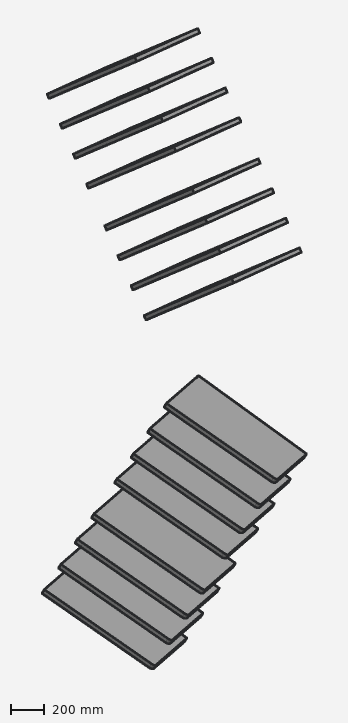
import cadquery as cq
import math

TILT = 31.6
PLATE_LENGTH = 800.0
PLATE_THICKNESS = 30.0
STACK_HEIGHT = 1468.0
PLATES_PER_GROUP = 4
GROUP_SPACING = 270.0
MAX_DEPTH = 628.0
DEPTH_LOSS = 83.0
CORNER_RADIUS = 25.0

cos_tilt = math.cos(math.radians(TILT))
sin_tilt = math.sin(math.radians(TILT))
total_width = PLATE_LENGTH * cos_tilt + STACK_HEIGHT * sin_tilt
steps_in_groups = 2 * (PLATES_PER_GROUP - 1)
plate_spacing = (STACK_HEIGHT - PLATE_THICKNESS - GROUP_SPACING) / steps_in_groups


def depth_at(x):
    """Depth of the stack at a distance x from its -X extreme."""
    return MAX_DEPTH - DEPTH_LOSS * (1 - x / total_width)


def make_plate(height):
    """Build the plate whose underside is at this height along the stack normal."""
    low_x = (STACK_HEIGHT - height) * sin_tilt
    low_z = height * cos_tilt
    high_x = low_x + PLATE_LENGTH * cos_tilt
    plate_plane = cq.Plane(
        origin=(low_x, 0, low_z),
        xDir=(cos_tilt, 0, sin_tilt),
        normal=(-sin_tilt, 0, cos_tilt),
    )
    outline = [
        (0, 0),
        (PLATE_LENGTH, 0),
        (PLATE_LENGTH, depth_at(high_x)),
        (0, depth_at(low_x)),
    ]
    plate = cq.Workplane(plate_plane).polyline(outline).close().extrude(PLATE_THICKNESS)
    low_back_corner = cq.selectors.NearestToPointSelector(
        plate_plane.toWorldCoords((0, depth_at(low_x), PLATE_THICKNESS / 2)).toTuple()
    )
    return plate.edges(low_back_corner).fillet(CORNER_RADIUS)


group_rise = (PLATES_PER_GROUP - 1) * plate_spacing + GROUP_SPACING
plates = []
for group_base in (0, group_rise):
    for index in range(PLATES_PER_GROUP):
        plates.append(make_plate(group_base + index * plate_spacing).val())

result = cq.Compound.makeCompound(plates)